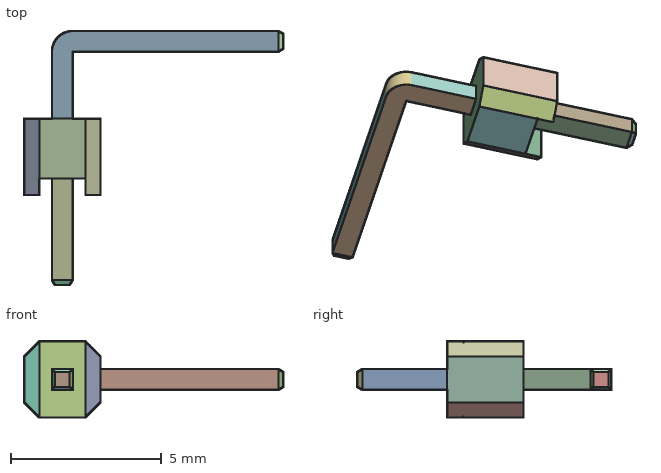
import cadquery as cq

total_length = 8.62
total_depth = 8.45

housing_size = 2.54
housing_chamfer = 0.51
recess_depth = 0.54
recess_width = housing_size - 2 * housing_chamfer

pin_width = 0.7
tip_length = 0.17
tip_inset = 0.1
bend_radius = pin_width

housing_front = 2.99
long_leg_end = total_length - housing_size / 2
long_leg_center_y = total_depth - pin_width / 2


def make_housing():
    """Octagonal block with a full-height recess across its front face."""
    block = (
        cq.Workplane("XY")
        .box(housing_size, housing_size, housing_size)
        .edges("|Y")
        .chamfer(housing_chamfer)
        .translate((0, housing_front + housing_size / 2, 0))
    )
    recess = (
        cq.Workplane("XY")
        .box(recess_width, recess_depth, housing_size)
        .translate((0, housing_front + recess_depth / 2, 0))
    )
    return block.cut(recess)


def make_tip(base_plane):
    """Tapered pin end, growing along the normal of its base plane."""
    end_width = pin_width - 2 * tip_inset
    return (
        cq.Workplane(base_plane)
        .rect(pin_width, pin_width)
        .workplane(offset=tip_length)
        .rect(end_width, end_width)
        .loft(ruled=True)
    )


def make_pin():
    """L-shaped pin: rounded outside the bend, sharp inside, tapered tips."""
    half = pin_width / 2
    long_leg_base = long_leg_end - tip_length
    body = (
        cq.Workplane("XY")
        .moveTo(-half, tip_length)
        .lineTo(half, tip_length)
        .lineTo(half, total_depth - pin_width)
        .lineTo(long_leg_base, total_depth - pin_width)
        .lineTo(long_leg_base, total_depth)
        .lineTo(bend_radius - half, total_depth)
        .radiusArc((-half, total_depth - bend_radius), -bend_radius)
        .close()
        .extrude(half, both=True)
    )
    short_tip = make_tip(cq.Plane((0, tip_length, 0), (1, 0, 0), (0, -1, 0)))
    long_tip = make_tip(cq.Plane((long_leg_base, long_leg_center_y, 0), (0, 1, 0), (1, 0, 0)))
    return body.union(short_tip).union(long_tip)


result = make_housing().union(make_pin())